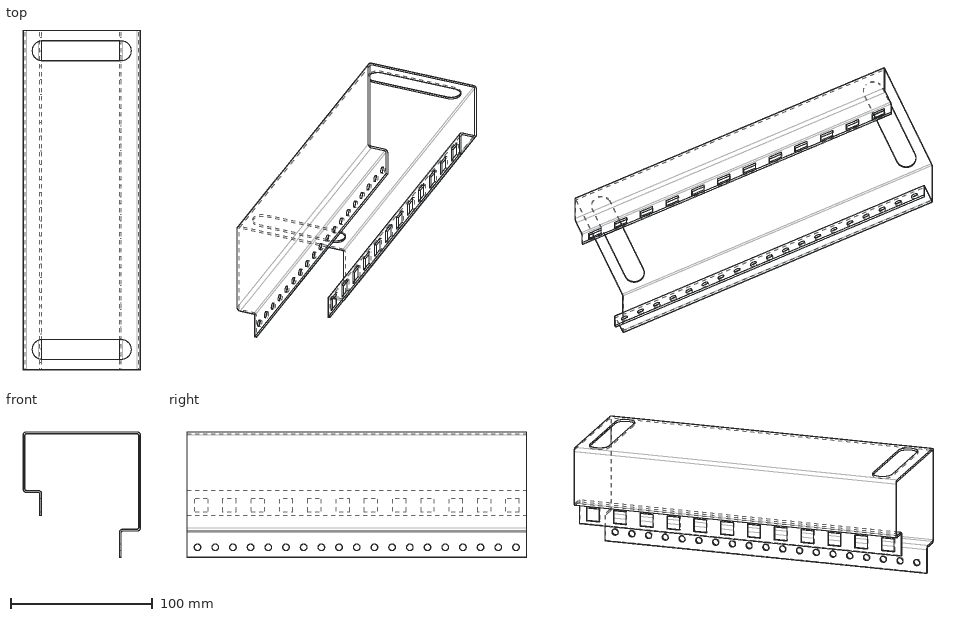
import cadquery as cq

thickness = 1.4
inner_bend_radius = 1.0
outer_bend_radius = inner_bend_radius + thickness

length = 240.0
width = 83.0
height = 88.8
left_wall_height = 42.8
left_lip_depth = 59.3
left_step = 13.2
right_wall_height = 70.2
right_step = 15.0

slot_length = 70.0
slot_width = 14.0
slot_edge_distance = 14.5

window_count = 12
window_pitch = 20.0
window_size = 9.5
window_depth = 51.9

hole_count = 19
hole_pitch = 12.5
hole_diameter = 4.5
hole_height = 7.2

left_x = -width / 2
right_x = width / 2
left_lip_x = left_x + left_step
right_lip_x = right_x - right_step
left_wall_z = height - left_wall_height
right_wall_z = height - right_wall_height
left_lip_z = height - left_lip_depth

cutter_length = 4 * thickness


def round_bends(sheet, corners, radius):
    """Round the lengthwise edges that pass through the given X, Z corners."""
    for x, z in corners:
        sheet = sheet.edges("|Y").edges(cq.NearestToPointSelector((x, 0, z))).fillet(radius)
    return sheet


def bent_sheet():
    """Channel of constant thickness along Y, with every bend rounded inside and out."""
    t = thickness
    bends = [
        (left_lip_x, left_wall_z + t, -1, -1),
        (left_x, left_wall_z, 1, 1),
        (left_x, height, 1, -1),
        (right_x, height, -1, -1),
        (right_x, right_wall_z, -1, 1),
        (right_lip_x, right_wall_z + t, 1, -1),
    ]
    outside = [(x, z) for x, z, _, _ in bends]
    inside = [(x + t * dx, z + t * dz) for x, z, dx, dz in bends]

    outer_face = [inside[0], *outside[1:-1], inside[-1]]
    inner_face = [outside[0], *inside[1:-1], outside[-1]]
    right_lip_end = [(right_lip_x + t, 0), (right_lip_x, 0)]
    left_lip_end = [(left_lip_x, left_lip_z), (left_lip_x - t, left_lip_z)]
    outline = outer_face + right_lip_end + inner_face[::-1] + left_lip_end

    sheet = cq.Workplane("XZ").polyline(outline).close().extrude(length / 2, both=True)
    sheet = round_bends(sheet, inside, inner_bend_radius)
    return round_bends(sheet, outside, outer_bend_radius)


def web_slots():
    """Two slots running across the web, cut downward through it."""
    slot_spacing = length - 2 * slot_edge_distance
    return (
        cq.Workplane("XY", origin=(0, 0, height - cutter_length / 2))
        .rarray(1, slot_spacing, 1, 2)
        .slot2D(slot_length, slot_width)
        .extrude(cutter_length)
    )


def lip_row(lip_middle_x, z, pitch, count):
    """Evenly spaced points along Y, on a plane through the middle of a lip."""
    return cq.Workplane("YZ", origin=(lip_middle_x, 0, z)).rarray(pitch, 1, count, 1)


def lip_windows():
    """Row of square windows through the left lip."""
    row = lip_row(left_lip_x - thickness / 2, height - window_depth, window_pitch, window_count)
    return row.rect(window_size, window_size).extrude(cutter_length / 2, both=True)


def lip_holes():
    """Row of round holes through the right lip."""
    row = lip_row(right_lip_x + thickness / 2, hole_height, hole_pitch, hole_count)
    return row.circle(hole_diameter / 2).extrude(cutter_length / 2, both=True)


result = bent_sheet().cut(web_slots()).cut(lip_windows()).cut(lip_holes())